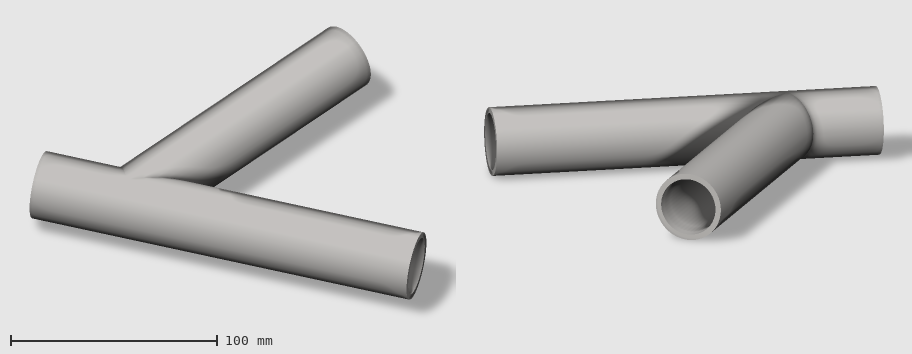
import cadquery as cq

run_length = 190.5
outer_diameter = 33.3
bore_diameter = 27.8
branch_position = 44.4
branch_length = 146.0
branch_angle = 60.0



def run_cylinder(diameter):
    """Straight cylinder along X, the full length of the run."""
    return (
        cq.Workplane("YZ")
        .workplane(offset=-branch_position)
        .circle(diameter / 2)
        .extrude(run_length)
    )


def branch_cylinder(diameter):
    """Cylinder from the crossing of the axes to the open end of the branch."""
    return (
        cq.Workplane("YZ")
        .circle(diameter / 2)
        .extrude(branch_length)
        .rotate((0, 0, 0), (0, 0, 1), branch_angle)
    )


def lateral_tee(diameter):
    """Run and branch of equal diameter, joined at the crossing."""
    return run_cylinder(diameter).union(branch_cylinder(diameter))


result = (
    lateral_tee(outer_diameter)
    .cut(run_cylinder(bore_diameter))
    .cut(branch_cylinder(bore_diameter))
)